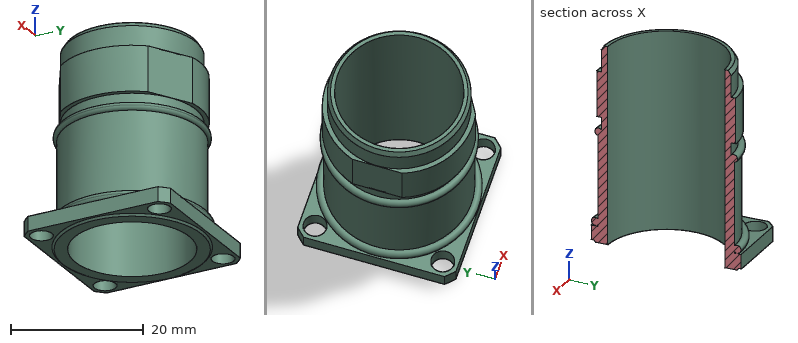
import cadquery as cq

plate_side = 25.0
plate_thickness = 2.8
plate_corner_diameter = 33.42
foot_height = 0.33
foot_top_radius = 12.08
foot_bottom_radius = 11.75
hole_diameter = 3.58
hole_offset = 10.08

body_radius = 11.4
neck_radius = 10.85
bore_radius = 9.72
total_height = 32.83
rim_chamfer_height = 0.75
rim_chamfer_width = 0.5

lower_ring_outer_radius = plate_side / 2
lower_ring_section_radius = 0.7
lower_ring_height = plate_thickness + lower_ring_section_radius
upper_ring_outer_radius = 11.92
upper_ring_section_radius = 0.65
upper_ring_height = 18.42

collar_radius = 11.6
collar_bottom = 20.85
collar_top = 28.45
flat_distance = 10.9
flat_count = 3
first_flat_angle = 180


def make_plate():
    """Square plate whose corners are trimmed to a common circle."""
    thickness = plate_thickness - foot_height
    square = cq.Workplane("XY").rect(plate_side, plate_side).extrude(thickness)
    corner_disc = cq.Workplane("XY").circle(plate_corner_diameter / 2).extrude(thickness)
    return square.intersect(corner_disc).translate((0, 0, foot_height))


def make_mounting_holes():
    return (
        cq.Workplane("XY")
        .rect(2 * hole_offset, 2 * hole_offset, forConstruction=True)
        .vertices()
        .circle(hole_diameter / 2)
        .extrude(plate_thickness)
    )


def make_barrel():
    """Stepped solid of revolution with a tapered foot and rim; the bore is cut later."""
    return (
        cq.Workplane("XZ")
        .moveTo(0, 0)
        .lineTo(foot_bottom_radius, 0)
        .lineTo(foot_top_radius, foot_height)
        .lineTo(body_radius, foot_height)
        .lineTo(body_radius, upper_ring_height)
        .lineTo(neck_radius, upper_ring_height)
        .lineTo(neck_radius, total_height - rim_chamfer_height)
        .lineTo(neck_radius - rim_chamfer_width, total_height)
        .lineTo(0, total_height)
        .close()
        .revolve(360, (0, 0, 0), (0, 1, 0))
    )


def make_ring(outer_radius, section_radius, height):
    return (
        cq.Workplane("XZ")
        .center(outer_radius - section_radius, height)
        .circle(section_radius)
        .revolve(360, (section_radius - outer_radius, 0, 0), (section_radius - outer_radius, 1, 0))
    )


def make_collar():
    height = collar_top - collar_bottom
    collar = cq.Workplane("XY").circle(collar_radius).extrude(height)
    cutter = (
        cq.Workplane("XY")
        .center(flat_distance + collar_radius / 2, 0)
        .rect(collar_radius, 2 * collar_radius)
        .extrude(height)
    )
    for index in range(flat_count):
        angle = first_flat_angle + index * 360 / flat_count
        collar = collar.cut(cutter.rotate((0, 0, 0), (0, 0, 1), angle))
    return collar.translate((0, 0, collar_bottom))


bore = cq.Workplane("XY").circle(bore_radius).extrude(total_height)

result = (
    make_plate()
    .cut(make_mounting_holes())
    .union(make_barrel())
    .union(make_ring(lower_ring_outer_radius, lower_ring_section_radius, lower_ring_height))
    .union(make_ring(upper_ring_outer_radius, upper_ring_section_radius, upper_ring_height))
    .union(make_collar())
    .cut(bore)
)